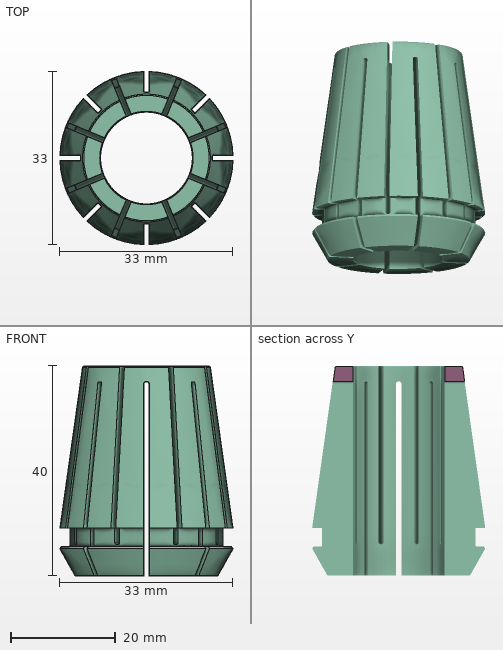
import cadquery as cq
import math

height = 40.0
max_diameter = 33.0
bore_diameter = 17.5

flange_bottom_radius = 13.57
flange_rim_height = 5.2
flange_top_height = 5.6
flange_top_radius = 16.2

groove_radius = 14.6
groove_top_height = 9.1
groove_fillet = 0.2

cone_angle = 8.0
top_chamfer = 0.25
bore_chamfer = 0.15

slot_width = 1.0
slot_corner_radius = 0.4
slots_per_end = 8
lower_slot_top = 37.0
upper_slot_bottom = 6.0

max_radius = max_diameter / 2
bore_radius = bore_diameter / 2
slot_pitch = 360.0 / slots_per_end


def cone_radius(z):
    """Radius of the clamping cone at height z."""
    return max_radius - (z - groove_top_height) * math.tan(math.radians(cone_angle))


def make_body():
    """Revolve the collet half section, in radius and height, about Z."""
    chamfer_start = height - top_chamfer
    fillet_center_radius = groove_radius + groove_fillet
    fillet_center_height = flange_top_height + groove_fillet
    fillet_mid_offset = groove_fillet * math.cos(math.radians(45))
    return (
        cq.Workplane("XZ")
        .moveTo(bore_radius, 0)
        .lineTo(flange_bottom_radius, 0)
        .lineTo(max_radius, flange_rim_height)
        .lineTo(flange_top_radius, flange_top_height)
        .lineTo(fillet_center_radius, flange_top_height)
        .threePointArc(
            (fillet_center_radius - fillet_mid_offset, fillet_center_height - fillet_mid_offset),
            (groove_radius, fillet_center_height),
        )
        .lineTo(groove_radius, groove_top_height)
        .lineTo(max_radius, groove_top_height)
        .lineTo(cone_radius(chamfer_start), chamfer_start)
        .lineTo(cone_radius(chamfer_start) - top_chamfer, height)
        .lineTo(bore_radius + bore_chamfer, height)
        .lineTo(bore_radius, height - bore_chamfer)
        .close()
        .revolve(360, (0, 0, 0), (0, 1, 0))
    )


def slot_cutter(open_z, closed_z, angle):
    """Radial slot from the axis outwards, open at open_z, with rounded corners at closed_z."""
    slot_length = abs(closed_z - open_z)
    closed_face = ">Z" if closed_z > open_z else "<Z"
    return (
        cq.Workplane("XY")
        .box(max_diameter, slot_width, slot_length, centered=(False, True, False))
        .translate((0, 0, min(open_z, closed_z)))
        .faces(closed_face)
        .edges("|X")
        .fillet(slot_corner_radius)
        .rotate((0, 0, 0), (0, 0, 1), angle)
    )


def cut_slots(body):
    """Cut the slots from both ends, the upper set halfway between the lower set."""
    for index in range(slots_per_end):
        angle = index * slot_pitch
        body = body.cut(slot_cutter(0, lower_slot_top, angle))
        body = body.cut(slot_cutter(height, upper_slot_bottom, angle + slot_pitch / 2))
    return body


result = cut_slots(make_body())